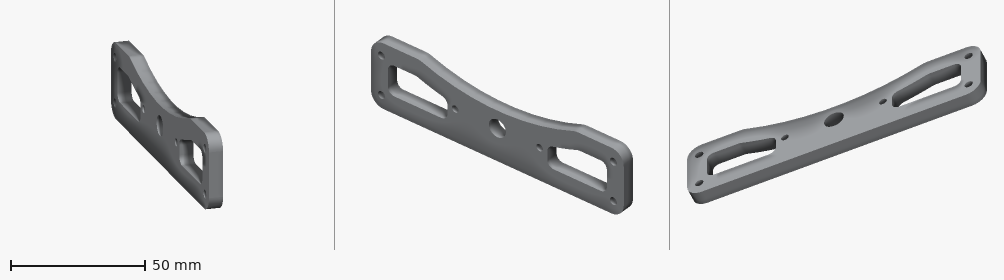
import cadquery as cq
import math

length = 120.0
thickness = 5.5
height = 30.0
corner_radius = 6.0

dip_radius = 102.0
dip_bottom = 23.0
dip_blend_radius = 6.0
dip_center_z = dip_bottom + dip_radius

rim = 8.0
window_inner_x = 23.8
window_corner_radius = 3.0

corner_hole_diameter = 3.4
corner_hole_x = 55.1
corner_hole_edge_distance = 6.0
side_hole_diameter = 3.1
side_hole_x = 20.0
center_hole_diameter = 8.0

mid_z = height / 2


def prism_plane():
    """XZ plane whose positive extrusion points along -Y."""
    return cq.Workplane("XZ", origin=(0, thickness / 2, 0))


def cylinder(x, z, diameter):
    """Cylinder along Y through the full plate thickness."""
    return prism_plane().center(x, z).circle(diameter / 2).extrude(thickness)


def make_plate():
    """Rounded plate with the concave dip blended into its top edge."""
    dip_half_width = math.sqrt(dip_radius**2 - (dip_center_z - height) ** 2)
    plate = (
        prism_plane()
        .moveTo(-length / 2, 0)
        .lineTo(length / 2, 0)
        .lineTo(length / 2, height)
        .lineTo(dip_half_width, height)
        .threePointArc((0, dip_bottom), (-dip_half_width, height))
        .lineTo(-length / 2, height)
        .close()
        .extrude(thickness)
    )
    plate = plate.edges("|Y and (not (<X or >X))").fillet(dip_blend_radius)
    return plate.edges("|Y and (<X or >X)").fillet(corner_radius)


def make_window():
    """Left window: a rounded rectangle trimmed by an arc concentric with the dip."""
    outer_x = length / 2 - rim
    window = (
        prism_plane()
        .moveTo(-outer_x, rim)
        .lineTo(-window_inner_x, rim)
        .lineTo(-window_inner_x, height - rim)
        .lineTo(-outer_x, height - rim)
        .close()
        .extrude(thickness)
    )
    window = window.cut(cylinder(0, dip_center_z, 2 * (dip_radius + rim)))
    return window.edges("|Y").fillet(window_corner_radius)


result = make_plate()

left_window = make_window()
result = result.cut(left_window).cut(left_window.mirror("YZ"))

for side in (-1, 1):
    for z in (corner_hole_edge_distance, height - corner_hole_edge_distance):
        result = result.cut(cylinder(side * corner_hole_x, z, corner_hole_diameter))
    result = result.cut(cylinder(side * side_hole_x, mid_z, side_hole_diameter))

result = result.cut(cylinder(0, mid_z, center_hole_diameter))